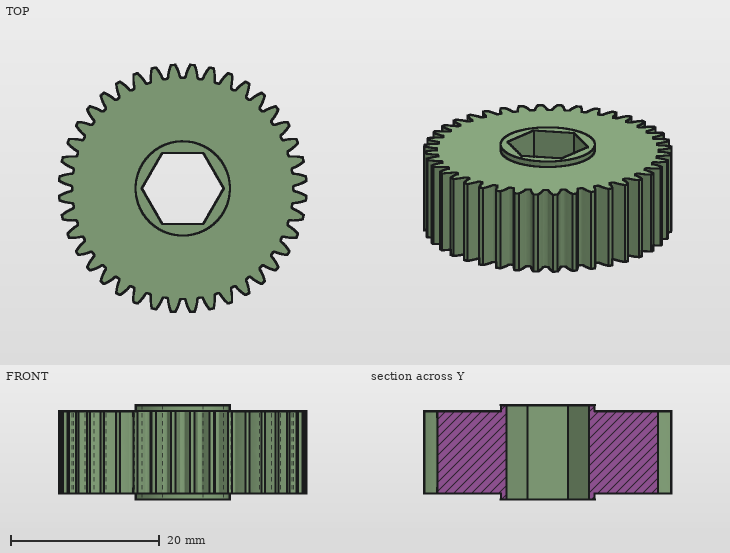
import cadquery as cq
import math

INCH = 25.4
TEETH = 40
MODULE = INCH / 32
PRESSURE_ANGLE = math.radians(20)
OVERALL_WIDTH = INCH / 2
HUB_DIAMETER = INCH / 2
HUB_STEP = INCH / 32
HEX_ACROSS_FLATS = INCH * 3 / 8
ADDENDUM = 1.0 * MODULE
DEDENDUM = 1.25 * MODULE
ROOT_FILLET_RADIUS = 0.3 * MODULE
FLANK_POINTS = 6

FACE_WIDTH = OVERALL_WIDTH - 2 * HUB_STEP
PITCH_RADIUS = MODULE * TEETH / 2
BASE_RADIUS = PITCH_RADIUS * math.cos(PRESSURE_ANGLE)
TIP_RADIUS = PITCH_RADIUS + ADDENDUM
ROOT_RADIUS = PITCH_RADIUS - DEDENDUM
FILLET_CENTER_RADIUS = ROOT_RADIUS + ROOT_FILLET_RADIUS
FILLET_CENTER_REACH = math.sqrt(FILLET_CENTER_RADIUS**2 - BASE_RADIUS**2)
FLANK_START_RADIUS = math.hypot(BASE_RADIUS, FILLET_CENTER_REACH - ROOT_FILLET_RADIUS)
TOOTH_PITCH = 2 * math.pi / TEETH
HEX_ACROSS_CORNERS = HEX_ACROSS_FLATS / math.cos(math.pi / 6)


def polar(radius, angle):
    return (radius * math.cos(angle), radius * math.sin(angle))


def involute(pressure_angle):
    return math.tan(pressure_angle) - pressure_angle


def half_tooth_angle(radius):
    """Angle from the tooth centreline to its involute flank at a given radius."""
    local_pressure_angle = math.acos(BASE_RADIUS / radius)
    return TOOTH_PITCH / 4 + involute(PRESSURE_ANGLE) - involute(local_pressure_angle)


def flank_radii():
    """Radii of the points that define a flank, from its start to the tip."""
    step = (TIP_RADIUS - FLANK_START_RADIUS) / (FLANK_POINTS - 1)
    return [FLANK_START_RADIUS + i * step for i in range(FLANK_POINTS)]


def fillet_center_angle():
    """Angle from the tooth centreline to the centre of its root fillet."""
    touch_angle = half_tooth_angle(FLANK_START_RADIUS) - math.acos(BASE_RADIUS / FLANK_START_RADIUS)
    return touch_angle + math.atan(FILLET_CENTER_REACH / BASE_RADIUS)


def fillet_middle(center_angle, side):
    """Middle of the root fillet arc; side is +1 or -1 from the tooth centreline."""
    fillet_angle = center_angle + side * fillet_center_angle()
    center_x, center_y = polar(FILLET_CENTER_RADIUS, fillet_angle)
    flank_angle = center_angle + side * half_tooth_angle(FLANK_START_RADIUS)
    flank_x, flank_y = polar(FLANK_START_RADIUS, flank_angle)
    root_x, root_y = polar(ROOT_RADIUS, fillet_angle)
    chord_x = (flank_x + root_x) / 2 - center_x
    chord_y = (flank_y + root_y) / 2 - center_y
    stretch = ROOT_FILLET_RADIUS / math.hypot(chord_x, chord_y)
    return (center_x + stretch * chord_x, center_y + stretch * chord_y)


def add_tooth_and_gap(outline, center_angle):
    """Add a tooth tip, then the gap to the next tooth as one smooth curve."""
    next_angle = center_angle + TOOTH_PITCH
    gap = [polar(r, center_angle + half_tooth_angle(r)) for r in reversed(flank_radii())]
    gap.append(fillet_middle(center_angle, +1))
    gap.append(polar(ROOT_RADIUS, center_angle + TOOTH_PITCH / 2))
    gap.append(fillet_middle(next_angle, -1))
    gap += [polar(r, next_angle - half_tooth_angle(r)) for r in flank_radii()]
    outline = outline.threePointArc(polar(TIP_RADIUS, center_angle), gap[0])
    return outline.spline(gap[1:], includeCurrent=True)


def make_toothed_disc():
    first_center = TOOTH_PITCH / 2
    start = polar(TIP_RADIUS, first_center - half_tooth_angle(TIP_RADIUS))
    outline = cq.Workplane("XY").workplane(offset=-FACE_WIDTH / 2).moveTo(*start)
    for i in range(TEETH):
        outline = add_tooth_and_gap(outline, first_center + i * TOOTH_PITCH)
    return outline.close().extrude(FACE_WIDTH)


def make_hub():
    return cq.Workplane("XY").circle(HUB_DIAMETER / 2).extrude(OVERALL_WIDTH / 2, both=True)


def make_hex_bore():
    return cq.Workplane("XY").polygon(6, HEX_ACROSS_CORNERS).extrude(OVERALL_WIDTH / 2, both=True)


result = make_toothed_disc().union(make_hub()).cut(make_hex_bore())